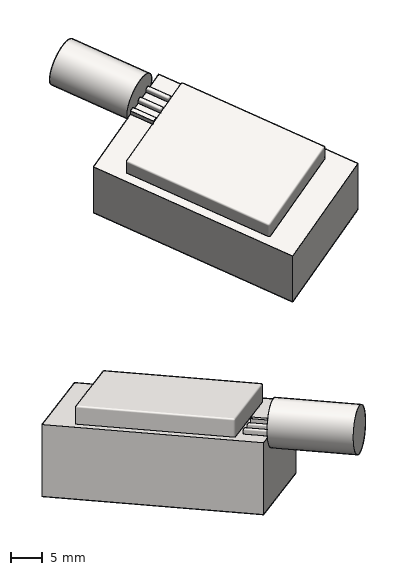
import cadquery as cq

total_length = 50
block_length = 36
block_width = 21
block_height = 12
block_start = total_length - block_length

plate_length = 26
plate_width = 18
plate_height = 3
plate_inset_x = 5
plate_inset_y = 1.5
plate_round = 0.3

cylinder_radius = 4
cylinder_center_y = 14.8
cylinder_center_z = 13.3

tab_length = 4.2
tab_height = 0.9
tab_spacing = 2.5
tab_width = 0.8
tab_round = 0.3
plain_tab_y = cylinder_center_y - tab_spacing


def box_at(length, width, height, x, y, z):
    """Box with its lowest corner at (x, y, z)."""
    return cq.Workplane("XY").box(length, width, height, centered=False).translate((x, y, z))


def make_plate():
    plate = box_at(
        plate_length,
        plate_width,
        plate_height,
        block_start + plate_inset_x,
        plate_inset_y,
        block_height,
    )
    return plate.edges("|Z or >Z").fillet(plate_round)


def make_tab(center_y):
    return box_at(tab_length, tab_width, tab_height, block_start, center_y - tab_width / 2, block_height)


def make_rounded_tab(center_y):
    """Tab rounded along both long top edges, its top end edge and its free corners."""
    tab = make_tab(center_y)
    return tab.edges("(>Z and (not <X)) or (>X and |Z)").fillet(tab_round)


def make_cylinder():
    return (
        cq.Workplane("YZ")
        .center(cylinder_center_y, cylinder_center_z)
        .circle(cylinder_radius)
        .extrude(block_start)
    )


block = box_at(block_length, block_width, block_height, block_start, 0, 0)
result = block.union(make_plate()).union(make_cylinder())
result = result.union(make_tab(plain_tab_y))
for step in (1, 2):
    result = result.union(make_rounded_tab(plain_tab_y + step * tab_spacing))